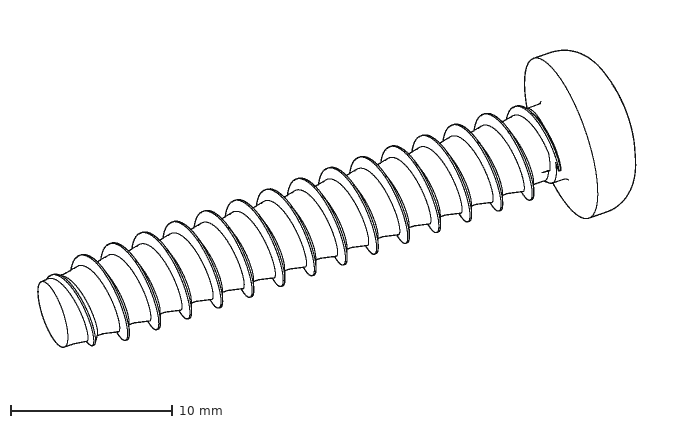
import cadquery as cq
import math


head_radius = 5.25
head_side_height = 1.2
dome_apex = 4.15
dome_radius = 9.0

recess_wing_width = 1.2
recess_mouth_radius = 2.65
recess_floor_radius = 1.1
recess_floor_y = 1.6

neck_radius = 2.45
neck_fillet = 0.75
neck_end_y = -1.5
core_radius = 2.15
core_start_y = -1.9
tip_rim_y = -34.95
tip_point_y = -35.0

pitch = 2.14
thread_start_y = -1.27
full_pieces = 15
thread_turns = full_pieces + 0.5
crest_radius = 3.0
crest_half_width = 0.06
upper_flank_width = 0.45
lower_flank_width = 0.3
lower_flank_foot_radius = 2.35
ledge_width = 1.25
root_overlap = 0.05
buried_radius = 1.9
run_in_turns = 1.0
run_in_loss = 0.6
run_out_turns = 1.25
run_out_loss = 0.85
points_per_turn = 16
min_intervals = 4
tangent_step = 1e-5


def make_body():
    """Head, neck and core as one turned profile, starting at the +Z side."""
    dome_center_y = dome_apex - dome_radius
    side_to_center = head_side_height - dome_center_y
    shoulder_radius = (dome_radius**2 - head_radius**2 - side_to_center**2) / (
        2 * (dome_radius - head_radius)
    )
    shoulder_center_x = head_radius - shoulder_radius
    tangent_angle = math.atan2(side_to_center, shoulder_center_x)

    def on_shoulder(angle):
        return (
            shoulder_center_x + shoulder_radius * math.cos(angle),
            head_side_height + shoulder_radius * math.sin(angle),
        )

    dome_mid_angle = (tangent_angle + math.pi / 2) / 2
    dome_mid = (
        dome_radius * math.cos(dome_mid_angle),
        dome_center_y + dome_radius * math.sin(dome_mid_angle),
    )
    fillet_mid_reach = neck_fillet * (1 - math.sqrt(0.5))
    return (
        cq.Workplane("ZY")
        .moveTo(0, tip_point_y)
        .lineTo(core_radius, tip_rim_y)
        .lineTo(core_radius, core_start_y)
        .lineTo(neck_radius, neck_end_y)
        .lineTo(neck_radius, -neck_fillet)
        .threePointArc(
            (neck_radius + fillet_mid_reach, -fillet_mid_reach),
            (neck_radius + neck_fillet, 0),
        )
        .lineTo(head_radius, 0)
        .lineTo(head_radius, head_side_height)
        .threePointArc(on_shoulder(tangent_angle / 2), on_shoulder(tangent_angle))
        .threePointArc(dome_mid, (0, dome_apex))
        .close()
        .revolve(360, (0, 0, 0), (0, 1, 0))
    )


def dome_height_at(radius):
    """Height of the dome surface at a given distance from the axis."""
    return dome_apex - dome_radius + math.sqrt(dome_radius**2 - radius**2)


def make_recess():
    """Cross recess: two crossed wings bounded by a tapering cone."""
    cone = (
        cq.Workplane("XY")
        .moveTo(0, recess_floor_y)
        .lineTo(recess_floor_radius, recess_floor_y)
        .lineTo(recess_mouth_radius, dome_height_at(recess_mouth_radius))
        .lineTo(recess_mouth_radius, dome_apex)
        .lineTo(0, dome_apex)
        .close()
        .revolve(360, (0, 0, 0), (0, 1, 0))
    )
    span = 2 * head_radius
    wing_x = cq.Workplane("XY").box(span, span, recess_wing_width)
    wing_z = cq.Workplane("XY").box(recess_wing_width, span, span)
    return cone.intersect(wing_x.union(wing_z))


def height_fraction(turn):
    """Share of the full thread height that is left at a given turn."""
    run_in = max(0, 1 - turn / run_in_turns)
    run_out = max(0, 1 - (thread_turns - turn) / run_out_turns)
    return 1 - run_in_loss * run_in**2 - run_out_loss * run_out


def thread_section():
    """Corners of the thread section: (offset along Y from the crest middle, radius)."""
    ledge_end = -lower_flank_width - ledge_width
    root_radius = core_radius - root_overlap
    return [
        (upper_flank_width, buried_radius),
        (upper_flank_width, root_radius),
        (crest_half_width, crest_radius),
        (-crest_half_width, crest_radius),
        (-lower_flank_width, lower_flank_foot_radius),
        (ledge_end, root_radius),
        (ledge_end, buried_radius),
    ]


def thread_edge(offset, radius, first_turn, last_turn):
    """Right-handed helical edge traced by one corner of the thread section."""

    def point_at(turn):
        angle = 2 * math.pi * turn
        reach = radius
        if radius > core_radius:
            reach = core_radius + (radius - core_radius) * height_fraction(turn)
        y = thread_start_y - pitch * turn + offset
        return cq.Vector(reach * math.cos(angle), y, reach * math.sin(angle))

    def tangent_at(turn):
        chord = point_at(turn + tangent_step) - point_at(turn - tangent_step)
        return chord.multiply(0.5 / tangent_step)

    span = last_turn - first_turn
    intervals = max(min_intervals, round(points_per_turn * span))
    turns = [first_turn + span * i / intervals for i in range(intervals + 1)]
    return cq.Edge.makeSpline(
        [point_at(turn) for turn in turns],
        tangents=[tangent_at(first_turn), tangent_at(last_turn)],
        parameters=turns,
        scale=False,
    )


def make_thread_piece(first_turn, last_turn):
    """Thread piece: ruled faces between helical edges, closed by flat end caps."""
    edges = [thread_edge(offset, radius, first_turn, last_turn) for offset, radius in thread_section()]
    next_edges = edges[1:] + edges[:1]
    faces = [cq.Face.makeRuledSurface(edge, following) for edge, following in zip(edges, next_edges)]
    for end in (0, 1):
        corners = [edge.positionAt(end) for edge in edges]
        cap_outline = cq.Wire.makePolygon(corners, close=True)
        faces.append(cq.Face.makeFromWires(cap_outline))
    return cq.Solid.makeSolid(cq.Shell.makeShell(faces)).fix()


def make_thread():
    """The thread as one piece per turn and a shorter last piece trimmed at the tip."""
    pieces = [make_thread_piece(turn, turn + 1) for turn in range(full_pieces)]
    trim_size = 4 * crest_radius
    trim_center_y = tip_rim_y - trim_size / 2
    trim_block = cq.Workplane("XY").box(trim_size, trim_size, trim_size).translate((0, trim_center_y, 0))
    last_piece = make_thread_piece(full_pieces, thread_turns)
    pieces.append(last_piece.cut(trim_block.val()))
    return pieces


blank = make_body().cut(make_recess()).val()
screw = blank.fuse(*make_thread())
result = cq.Workplane(screw.Solids()[0])